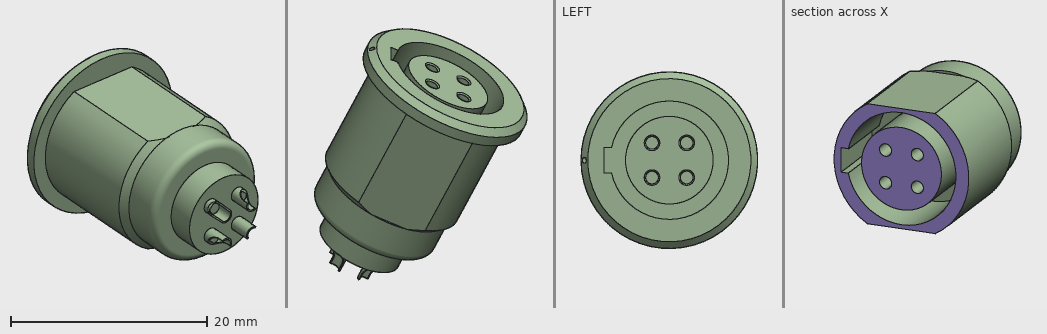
import cadquery as cq
import math

flange_thickness = 1.78
body_end = 14.52
nut_end = 18.5
insert_end = 21.5
pin_end = 24.0

flange_radius = 9.0
flange_chamfer = 0.7
body_radius = 7.5
nut_radius = 6.8
body_chamfer = body_radius - nut_radius
nut_fillet = 0.8
flat_half_height = 6.5

socket_radius = 6.02
socket_depth = 10.8
keyway_reach = 6.67
keyway_width = 2.6
insert_radius = 4.46
insert_recess = 0.5

contact_pitch = 3.53
contact_positions = [(y * contact_pitch / 2, z * contact_pitch / 2) for y in (-1, 1) for z in (-1, 1)]
contact_hole_radius = 0.65
contact_hole_depth = 4.8
countersink = 0.15

pin_radius = 0.8
cup_radius = 0.62
cut_start = 21.95
cup_floor = 22.18
cut_arc_radius = 1.5
cut_height = -0.2

dimple_radius = 0.3
dimple_depth = 0.72


def cylinder(radius, start, end, y=0.0, z=0.0):
    """Solid cylinder along X between two axial positions."""
    return cq.Workplane("YZ", origin=(start, y, z)).circle(radius).extrude(end - start)


def make_shell():
    flange = cylinder(flange_radius, 0, flange_thickness).faces("<X").chamfer(flange_chamfer)
    body = cylinder(body_radius, 0, body_end).faces(">X").chamfer(body_chamfer)
    flats = cq.Workplane("XY").box(2 * body_end, 2 * body_radius, 2 * flat_half_height)
    nut = cylinder(nut_radius, body_end, nut_end).faces(">X").edges().fillet(nut_fillet)
    return flange.union(body.intersect(flats)).union(nut)


def make_socket():
    """Round socket with a rectangular keyway on the +Y side."""
    keyway = cq.Workplane("XY").box(
        socket_depth, keyway_reach, keyway_width, centered=(False, False, True)
    )
    return cylinder(socket_radius, 0, socket_depth).union(keyway)


def make_contact_hole(y, z):
    """Blind contact hole with a 45 degree countersink at the insert face."""
    hole = cylinder(contact_hole_radius, insert_recess, insert_recess + contact_hole_depth, y, z)
    mouth = cq.Solid.makeCone(
        contact_hole_radius + countersink,
        contact_hole_radius,
        countersink,
        cq.Vector(insert_recess, y, z),
        cq.Vector(1, 0, 0),
    )
    return hole.union(cq.Workplane(mouth))


def make_solder_pin(y, z):
    """Pin with a bored cup, cut away on the side facing outward from the axis."""
    pin = cylinder(pin_radius, insert_end, pin_end)
    bore = cylinder(cup_radius, cup_floor, pin_end)
    arc_center_height = cut_height + cut_arc_radius
    arc_end = cut_start + cut_arc_radius
    diagonal = math.sqrt(0.5) * cut_arc_radius
    cutaway = (
        cq.Workplane("XZ")
        .moveTo(cut_start, arc_center_height)
        .threePointArc((arc_end - diagonal, arc_center_height - diagonal), (arc_end, cut_height))
        .lineTo(pin_end, cut_height)
        .lineTo(pin_end, arc_center_height)
        .close()
        .extrude(pin_radius, both=True)
    )
    outward_angle = math.degrees(math.atan2(-y, z))
    cup = pin.cut(bore).cut(cutaway)
    return cup.rotate((0, 0, 0), (1, 0, 0), outward_angle).translate((0, y, z))


def make_dimple():
    """Small blind hole square to the flange chamfer on the +Y side."""
    inward = cq.Vector(1, -1, 0)
    center = cq.Vector(flange_chamfer / 2, flange_radius - flange_chamfer / 2, 0)
    start = center - inward.normalized() * dimple_depth
    return cq.Workplane(cq.Solid.makeCylinder(dimple_radius, 2 * dimple_depth, start, inward))


result = make_shell().cut(make_socket()).cut(make_dimple())
result = result.union(cylinder(insert_radius, insert_recess, insert_end))
for contact_y, contact_z in contact_positions:
    result = result.cut(make_contact_hole(contact_y, contact_z))
    result = result.union(make_solder_pin(contact_y, contact_z))